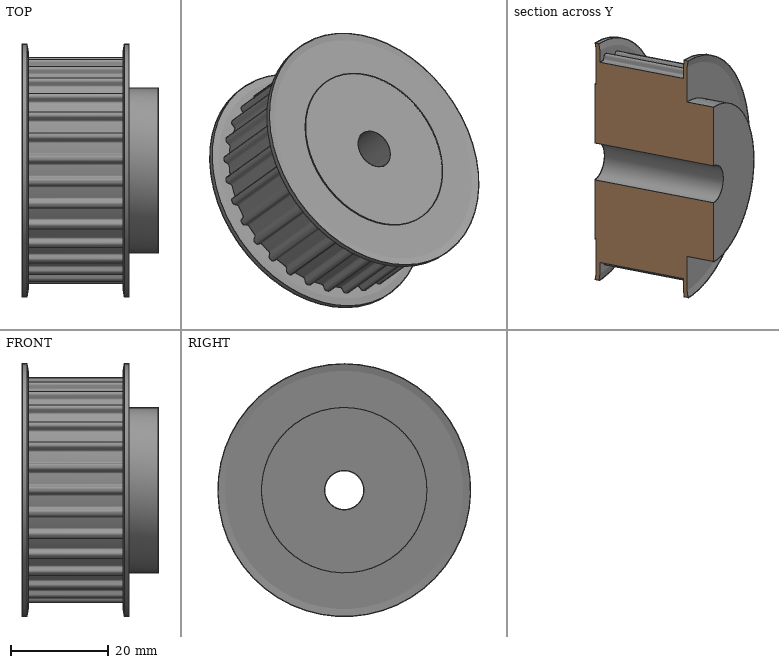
import cadquery as cq
import math


tooth_count = 30
tip_radius = 23.26
tooth_depth = 1.25
root_radius = tip_radius - tooth_depth
flank_angle = 18.0
tip_half_width = 0.58
root_half_width = tip_half_width + tooth_depth * math.tan(math.radians(flank_angle))
tip_rounding = 0.6
root_rounding = 0.4

rim_width = 22.0
flange_radius = 26.0
flange_bend_radius = 24.5
flange_thickness = 1.0
flange_flare = 0.25

hub_radius = 17.0
hub_projection = 6.0
total_length = rim_width + hub_projection
bore_radius = 4.0


def polar_point(radius, angle):
    return (radius * math.cos(angle), radius * math.sin(angle))


def make_toothed_rim():
    """Disc with trapezoidal teeth, rounded at their tips and roots; one tooth lies on the Y axis."""
    pitch_angle = 2 * math.pi / tooth_count
    tip_angle = math.asin(tip_half_width / tip_radius)
    root_angle = math.asin(root_half_width / root_radius)

    outline = cq.Workplane("YZ").moveTo(*polar_point(root_radius, -root_angle))
    for tooth in range(tooth_count):
        centre = tooth * pitch_angle
        outline = outline.lineTo(*polar_point(tip_radius, centre - tip_angle))
        outline = outline.threePointArc(
            polar_point(tip_radius, centre),
            polar_point(tip_radius, centre + tip_angle),
        )
        outline = outline.lineTo(*polar_point(root_radius, centre + root_angle))
        outline = outline.threePointArc(
            polar_point(root_radius, centre + pitch_angle / 2),
            polar_point(root_radius, centre + pitch_angle - root_angle),
        )
    inner_face = flange_flare + flange_thickness
    rim = outline.close().extrude(rim_width - 2 * inner_face)
    rim = round_corners(rim, tip_radius, tip_rounding)
    rim = round_corners(rim, root_radius, root_rounding)
    return rim.translate((inner_face, 0, 0))


def round_corners(rim, corner_radius, rounding):
    """Fillet the lengthwise edges lying at corner_radius from the axis."""
    tolerance = 0.001
    edges = [
        edge
        for edge in rim.edges("|X").vals()
        if abs(math.hypot(edge.Center().y, edge.Center().z) - corner_radius) < tolerance
    ]
    return rim.newObject(edges).fillet(rounding)


def make_flange():
    """Left-hand flange, its bent rim reaching X = 0."""
    return (
        cq.Workplane("XZ")
        .moveTo(flange_flare, 0)
        .lineTo(flange_flare, flange_bend_radius)
        .lineTo(0, flange_radius)
        .lineTo(flange_thickness, flange_radius)
        .lineTo(flange_thickness + flange_flare, flange_bend_radius)
        .lineTo(flange_thickness + flange_flare, 0)
        .close()
        .revolve(360, (0, 0, 0), (1, 0, 0))
    )


def make_hub():
    """Core running the full length, proud of both flange faces."""
    return cq.Workplane("YZ").circle(hub_radius).extrude(total_length)


def make_bore():
    return cq.Workplane("YZ").circle(bore_radius).extrude(total_length)


left_flange = make_flange()
right_flange = left_flange.mirror("YZ").translate((rim_width, 0, 0))

result = make_toothed_rim().union(left_flange).union(right_flange).union(make_hub()).cut(make_bore())